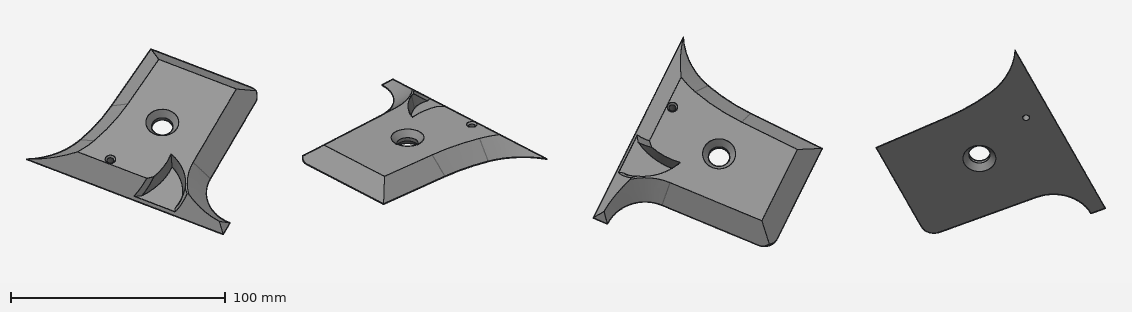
import cadquery as cq
import math

length = 101.6
depth = 82.5
height = 7.9

rim_height = 0.4
slope_run = 8.9
slope_rise = height - rim_height
slope_angle = math.degrees(math.atan(slope_run / slope_rise))
overhang = 30.5

back_left = (25.1, depth)
curve_start = (22.6, 44.7)
curve_middle = (17.9, 20.8)
front_left = (0, 0)

body_right = 82.4
notch_radius = length - body_right
tip_width = 7.3
corner_radius = 6.6

mount_center = (50.6, 41.2)
mount_diameter = 10.0
mount_sink_diameter = 15.3
mount_sink_depth = 3

pin_center = (37.9, 11.6)
pin_diameter = 3.1
pin_sink_diameter = 4.9
pin_sink_depth = (pin_sink_diameter - pin_diameter) / 2

pocket_floor = 1.3
pocket_draft = 12
pocket_tip = (62.1, 26.5)
pocket_left_middle = (60.9, 12.2)
pocket_left_end = (53.8, 0)
pocket_right_middle = (72.2, 19.3)
pocket_right_bend = (76.0, 13.2)
pocket_right_end = (75.1, 0)
mouth_chamfer = 1.6


def raise_with_slope(outline, angle):
    """Straight rim with a tapered solid on top; a negative angle widens upward."""
    slope_base = outline.val().translate(cq.Vector(0, 0, rim_height))
    rim = outline.extrude(rim_height)
    slope = cq.Workplane("XY").add(slope_base).toPending().extrude(slope_rise, taper=angle)
    return rim.union(slope)


def make_block():
    """Rectangular plate carrying the straight front, back and tip slopes."""
    block_length = length + overhang
    center = (length - block_length / 2, depth / 2)
    outline = cq.Workplane("XY").center(*center).rect(block_length, depth)
    return raise_with_slope(outline, slope_angle)


def make_left_cutter():
    extension = overhang / depth
    lean = back_left[0] - curve_start[0]
    rise = back_left[1] - curve_start[1]
    far_back = (back_left[0] + lean * extension, back_left[1] + rise * extension)
    outline = (
        cq.Workplane("XY")
        .moveTo(*far_back)
        .lineTo(*curve_start)
        .tangentArcPoint(curve_middle, relative=False)
        .tangentArcPoint(front_left, relative=False)
        .lineTo(-overhang, -overhang)
        .lineTo(-overhang, far_back[1])
        .close()
    )
    return raise_with_slope(outline, -slope_angle)


def make_notch_cutter():
    far_right = length + overhang
    far_back = depth + overhang
    arc_depth = notch_radius * math.cos(math.radians(45))
    arc_center = (length, tip_width + notch_radius)
    outline = (
        cq.Workplane("XY")
        .moveTo(body_right, far_back)
        .lineTo(body_right, arc_center[1])
        .threePointArc((arc_center[0] - arc_depth, arc_center[1] - arc_depth), (length, tip_width))
        .lineTo(far_right, tip_width)
        .lineTo(far_right, far_back)
        .close()
    )
    return raise_with_slope(outline, -slope_angle)


def make_corner_cutter():
    """Upright sliver that rounds the back right corner."""
    square = (
        cq.Workplane("XY")
        .rect(corner_radius, corner_radius, centered=False)
        .extrude(height)
    )
    round_part = cq.Workplane("XY").circle(corner_radius).extrude(height)
    return square.cut(round_part).translate((body_right - corner_radius, depth - corner_radius, 0))


def make_hole(diameter, sink_diameter, sink_depth):
    """Through hole about the Z axis with a countersink in the top face."""
    bore = cq.Workplane("XY").circle(diameter / 2).extrude(height)
    sink = (
        cq.Workplane("XY", origin=(0, 0, height - sink_depth))
        .circle(diameter / 2)
        .workplane(offset=sink_depth)
        .circle(sink_diameter / 2)
        .loft()
    )
    return bore.union(sink)


def make_mount_hole():
    """Mounting hole countersunk alike from both faces."""
    upper = make_hole(mount_diameter, mount_sink_diameter, mount_sink_depth)
    lower = upper.mirror("XY", (0, 0, height / 2))
    return upper.union(lower).translate((*mount_center, 0))


def make_pin_hole():
    return make_hole(pin_diameter, pin_sink_diameter, pin_sink_depth).translate((*pin_center, 0))


def make_pocket():
    return (
        cq.Workplane("XY", origin=(0, 0, height))
        .moveTo(*pocket_left_end)
        .threePointArc(pocket_left_middle, pocket_tip)
        .threePointArc(pocket_right_middle, pocket_right_bend)
        .tangentArcPoint(pocket_right_end, relative=False)
        .close()
        .extrude(pocket_floor - height, taper=pocket_draft)
    )


def chamfer_pocket_mouth(body):
    """Break, one after the other, the two edges where the pocket walls meet the front slope."""
    pocket_middle = pocket_tip[0]
    left_limit = pocket_left_end[0] - mouth_chamfer
    right_limit = pocket_right_bend[0] + mouth_chamfer
    lowest = pocket_floor + mouth_chamfer
    highest = height - mouth_chamfer
    for start, end in ((left_limit, pocket_middle), (pocket_middle, right_limit)):
        mouth_edge = cq.selectors.BoxSelector((start, 0, lowest), (end, slope_run, highest))
        body = body.edges(mouth_edge).chamfer(mouth_chamfer)
    return body


plate = make_block().cut(make_left_cutter()).cut(make_notch_cutter()).cut(make_corner_cutter())
plate = chamfer_pocket_mouth(plate.cut(make_pocket()))

result = plate.cut(make_mount_hole()).cut(make_pin_hole())